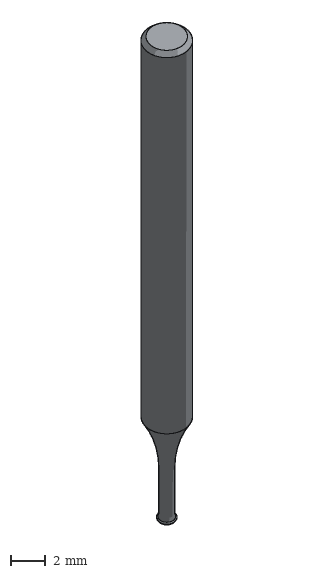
import cadquery as cq
import math

total_length = 38.0
shank_radius = 1.5
shank_chamfer = 0.3

neck_radius = 0.47
flare_bottom_z = 4.2
flare_height = 4.0
flare_top_z = flare_bottom_z + flare_height

tip_radius = 0.35
rim_radius = 0.6
rim_z = 0.3
lower_bevel_radius = 0.55
lower_bevel_z = lower_bevel_radius - tip_radius
upper_bevel_radius = 0.515
upper_bevel_z = 0.37
head_top_z = 0.63


def flare_midpoint():
    """Radius and height halfway along the flare arc, which is tangent to the neck."""
    flare_rise = shank_radius - neck_radius
    arc_radius = (flare_height**2 + flare_rise**2) / (2 * flare_rise)
    half_angle = math.asin(flare_height / arc_radius) / 2
    radius = neck_radius + arc_radius * (1 - math.cos(half_angle))
    height = flare_bottom_z + arc_radius * math.sin(half_angle)
    return radius, height


def at(radius, height):
    """Profile point on the -X side of the axis, where the revolve seam lies."""
    return (-radius, height)


def half_profile():
    """Closed outline of half the tool, from the tip up to the shank end."""
    return (
        cq.Workplane("XZ")
        .moveTo(0, 0)
        .lineTo(*at(tip_radius, 0))
        .lineTo(*at(lower_bevel_radius, lower_bevel_z))
        .lineTo(*at(rim_radius, rim_z))
        .lineTo(*at(upper_bevel_radius, upper_bevel_z))
        .lineTo(*at(neck_radius, head_top_z))
        .lineTo(*at(neck_radius, flare_bottom_z))
        .threePointArc(at(*flare_midpoint()), at(shank_radius, flare_top_z))
        .lineTo(*at(shank_radius, total_length - shank_chamfer))
        .lineTo(*at(shank_radius - shank_chamfer, total_length))
        .lineTo(0, total_length)
        .close()
    )


result = half_profile().revolve(360, (0, 0, 0), (0, 1, 0))